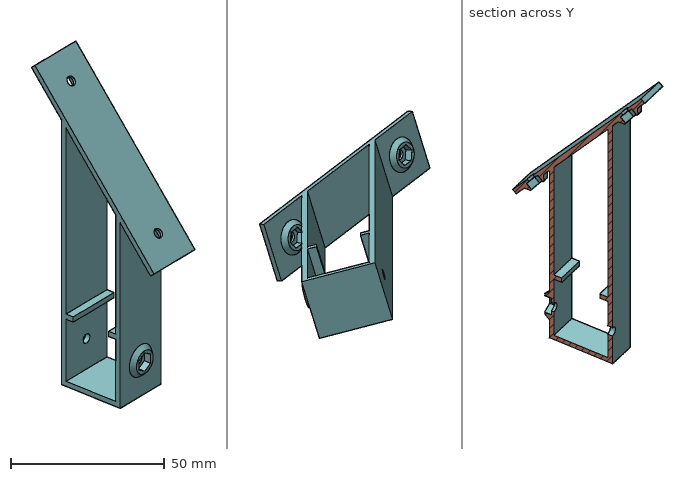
import cadquery as cq
import math

depth = 21.0
channel_width = 24.8
wall = 2.0
total_height = 115.5
plate_span = 51.9
plate_angle = 50.0
plate_overhang = 12.7
ledge_bottom = 25.2
ledge_reach = 3.0

screw_diameter = 3.3
screw_height = 13.4
upper_screw_inset = 10.4
lower_screw_inset = 10.7
boss_base_diameter = 11.7
boss_top_diameter = 8.5
boss_height = 1.7
nut_across_flats = 5.9
nut_recess = 0.9

slope_cos = math.cos(math.radians(plate_angle))
slope_sin = math.sin(math.radians(plate_angle))
plate_length = (plate_span - wall * slope_sin) / slope_cos
mid_y = depth / 2

plate_start_x = -plate_overhang
plate_start_z = total_height - wall * slope_cos


def underside_point(distance):
    """X and Z on the plate's underside, measured from its upper end."""
    return plate_start_x + distance * slope_cos, plate_start_z - distance * slope_sin


def underside_height(x):
    """Height of the plate's underside at a given X."""
    return plate_start_z - (x - plate_start_x) * slope_sin / slope_cos


def extrude_outline(points):
    """Solid of full depth from an outline in the XZ plane."""
    return cq.Workplane("XZ").polyline(points).close().extrude(-depth)


def block(x, z, width, height):
    """Full-depth block with its lower left corner at x, z."""
    return cq.Workplane("XY").box(width, depth, height, centered=False).translate((x, 0, z))


def make_channel():
    outer = extrude_outline([
        (0, 0),
        (channel_width, 0),
        (channel_width, underside_height(channel_width)),
        (0, underside_height(0)),
    ])
    inner_right = channel_width - wall
    inner = extrude_outline([
        (wall, wall),
        (inner_right, wall),
        (inner_right, underside_height(inner_right)),
        (wall, underside_height(wall)),
    ])
    channel = outer.cut(inner)
    for ledge_x in (wall, inner_right - ledge_reach):
        channel = channel.union(block(ledge_x, ledge_bottom, ledge_reach, wall))
    return channel


def make_plate():
    start = underside_point(0)
    end = underside_point(plate_length)
    rise_x = wall * slope_sin
    rise_z = wall * slope_cos
    return extrude_outline([
        start,
        end,
        (end[0] + rise_x, end[1] + rise_z),
        (start[0] + rise_x, start[1] + rise_z),
    ])


def add_nut_boss(body, plane):
    """Add a conical boss with a hex nut pocket, and a screw hole through the wall behind it."""
    boss = (
        cq.Workplane(plane)
        .circle(boss_base_diameter / 2)
        .workplane(offset=boss_height)
        .circle(boss_top_diameter / 2)
        .loft(ruled=True)
    )
    nut_across_corners = nut_across_flats / math.cos(math.radians(30))
    pocket = (
        cq.Workplane(plane)
        .workplane(offset=-nut_recess)
        .polygon(6, nut_across_corners)
        .extrude(nut_recess + boss_height)
    )
    hole = cq.Workplane(plane).circle(screw_diameter / 2).extrude(-wall)
    return body.union(boss).cut(pocket).cut(hole)


result = make_channel().union(make_plate())

for along_plate in (upper_screw_inset, plate_length - lower_screw_inset):
    boss_x, boss_z = underside_point(along_plate)
    boss_plane = cq.Plane(
        origin=(boss_x, mid_y, boss_z),
        xDir=(slope_cos, 0, -slope_sin),
        normal=(-slope_sin, 0, -slope_cos),
    )
    result = add_nut_boss(result, boss_plane)

side_plane = cq.Plane(
    origin=(channel_width, mid_y, screw_height),
    xDir=(0, 0, 1),
    normal=(1, 0, 0),
)
result = add_nut_boss(result, side_plane)

left_hole = (
    cq.Workplane("YZ")
    .center(mid_y, screw_height)
    .circle(screw_diameter / 2)
    .extrude(wall)
)
result = result.cut(left_hole)